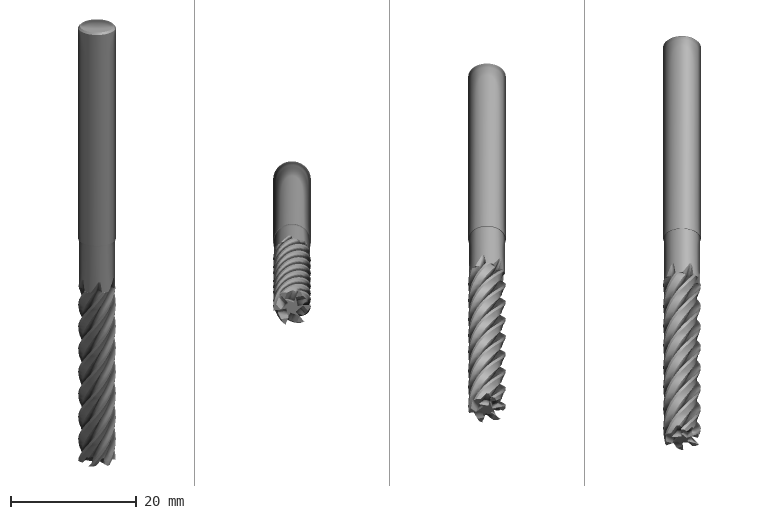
import cadquery as cq
import math

overall_length = 75.0
cutting_diameter = 6.0
shank_diameter = cutting_diameter
cutting_length = 30.0
cutting_radius = cutting_diameter / 2

neck_diameter = 5.8
neck_top = 38.25
neck_radius = neck_diameter / 2
shank_chamfer = 0.3

flute_count = 6
flute_pitch = 360.0 / flute_count
helix_angle = 39.0
lead = math.pi * cutting_diameter / math.tan(math.radians(helix_angle))
twist_rate = 360.0 / lead
first_edge_angle = 0.0

land_end = (2.9, 10.0)
heel = (2.4, 35.0)
flute_floor = (1.7, 47.0)
rake_middle = (2.1, 58.0)

runout_height = 1.9
runout_clearance = 0.75
runout_peak_angle = 51.0
runout_end_width_ratio = 0.35

gash_height = 1.2
gash_width = 1.6
gash_heel_lean = 0.9
gash_rake_lean = 0.2
gash_inner_radius = 0.9


def polar(radius, angle):
    """Point at a radius and an angle in degrees."""
    return (radius * math.cos(math.radians(angle)), radius * math.sin(math.radians(angle)))


def fluted_blank():
    """Helical body swept from the cross-section of all the teeth."""
    section = cq.Workplane("XY").moveTo(*polar(cutting_radius, first_edge_angle))
    for tooth in range(flute_count):
        edge_angle = first_edge_angle + tooth * flute_pitch
        next_edge = polar(cutting_radius, edge_angle + flute_pitch)
        land, back, floor, rake = [
            polar(radius, edge_angle + angle)
            for radius, angle in (land_end, heel, flute_floor, rake_middle)
        ]
        section = section.lineTo(*land).lineTo(*back).lineTo(*floor).threePointArc(rake, next_edge)
    return section.close().twistExtrude(cutting_length, twist_rate * cutting_length)


def end_gash(edge_angle):
    """Slanted notch across the end, just ahead of one cutting edge."""
    profile = [
        (0, 0),
        (-gash_width, 0),
        (gash_heel_lean - gash_width, gash_height),
        (gash_rake_lean, gash_height),
    ]
    return (
        cq.Workplane("YZ", origin=(gash_inner_radius, 0, 0))
        .polyline(profile)
        .close()
        .extrude(cutting_radius)
        .rotate((0, 0, 0), (0, 0, 1), edge_angle)
    )


def make_cutting_head():
    """Fluted cutting part with a gash in front of each tooth at the end."""
    head = fluted_blank()
    for tooth in range(flute_count):
        head = head.cut(end_gash(first_edge_angle + tooth * flute_pitch))
    return head


def flute_runout(edge_angle):
    """Void that carries one flute on into the neck, narrowing and rising to the neck surface."""
    clear_radius = cutting_radius + runout_clearance
    flute_outline = [
        (clear_radius, land_end[1]),
        heel,
        flute_floor,
        rake_middle,
        (clear_radius, flute_pitch),
    ]
    start = [polar(radius, edge_angle + angle) for radius, angle in flute_outline]
    end = [
        polar(
            max(radius, neck_radius),
            edge_angle + runout_peak_angle + runout_end_width_ratio * (angle - runout_peak_angle),
        )
        for radius, angle in flute_outline
    ]
    return (
        cq.Workplane("XY", origin=(0, 0, cutting_length))
        .polyline(start)
        .close()
        .workplane(offset=runout_height)
        .polyline(end)
        .close()
        .loft(ruled=True)
    )


def make_shank():
    """Cylindrical shank with a thinner neck that the flutes run out into."""
    shank = (
        cq.Workplane("XY", origin=(0, 0, neck_top))
        .circle(shank_diameter / 2)
        .extrude(overall_length - neck_top)
        .faces(">Z")
        .chamfer(shank_chamfer)
    )
    neck = (
        cq.Workplane("XY", origin=(0, 0, cutting_length))
        .circle(neck_radius)
        .extrude(neck_top - cutting_length)
    )
    neck_edge_angle = first_edge_angle + twist_rate * cutting_length
    for tooth in range(flute_count):
        neck = neck.cut(flute_runout(neck_edge_angle + tooth * flute_pitch))
    return shank.union(neck)


cutting_head = make_cutting_head()
shank = make_shank()
result = cq.Compound.makeCompound([cutting_head.val(), shank.val()])